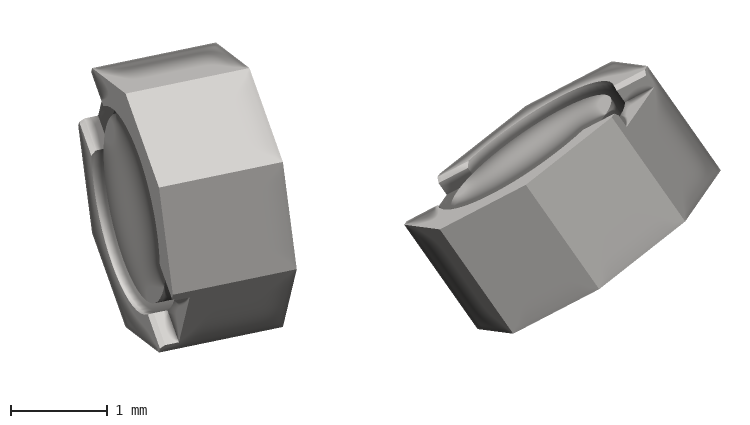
import cadquery as cq
import math

side_count = 8
across_flats = 2.8
ring_length = 1.35
radial_gap = 0.1

core_radius = 1.0
core_recess = 0.1

slot_width = 0.9
slot_depth = 0.2
slot_chamfer = 0.05
slot_tilt = -180 / side_count

across_corners = across_flats / math.cos(math.pi / side_count)
bore_radius = core_radius + radial_gap
core_length = ring_length - core_recess
slot_length = 2 * across_corners


def front_plane(y):
    """Plane at height y whose normal is +Y, with local x along +X and local y along -Z."""
    return cq.Plane(origin=(0, y, 0), xDir=(1, 0, 0), normal=(0, 1, 0))


def make_slot_cutter():
    """Straight slot with a 45 degree chamfer along each edge of its mouth."""
    half_width = slot_width / 2
    mouth_half_width = half_width + slot_chamfer
    profile = [
        (slot_depth, -half_width),
        (slot_depth, half_width),
        (slot_chamfer, half_width),
        (0, mouth_half_width),
        (0, -mouth_half_width),
        (slot_chamfer, -half_width),
    ]
    cutter = cq.Workplane("YZ").polyline(profile).close().extrude(slot_length / 2, both=True)
    return cutter.rotate((0, 0, 0), (0, -1, 0), slot_tilt)


def make_ring():
    """Octagonal ring with corners on the X and Z axes, slotted at the front."""
    body = cq.Workplane(front_plane(0)).polygon(side_count, across_corners).extrude(ring_length)
    bore = cq.Workplane(front_plane(0)).circle(bore_radius).extrude(ring_length)
    return body.cut(bore).cut(make_slot_cutter())


def make_core():
    """Cylinder recessed at the front and flush with the ring at the back."""
    return cq.Workplane(front_plane(core_recess)).circle(core_radius).extrude(core_length)


ring = make_ring()
core = make_core()

result = cq.Compound.makeCompound([ring.val(), core.val()])